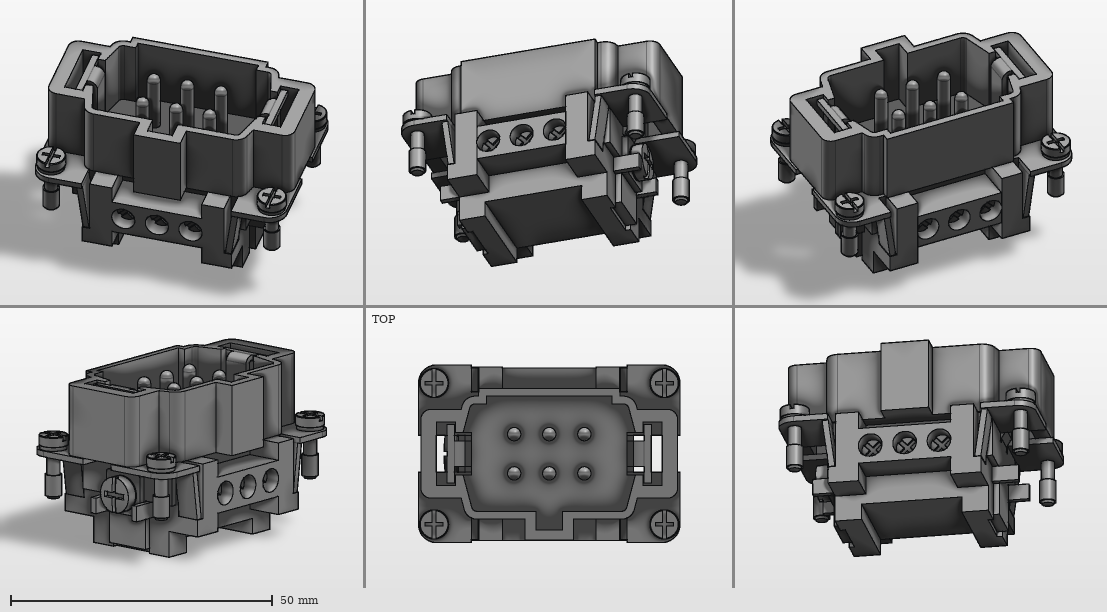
import cadquery as cq
import math

FLANGE_TOP = 19.2
FLANGE_THICKNESS = 1.15
FLANGE_BOTTOM = FLANGE_TOP - FLANGE_THICKNESS
FLOOR_Z = 20.0
RIM_Z = 33.0

LENGTH = 50.0
WIDTH = 34.0
FLANGE_CORNER_RADIUS = 3.5
NOTCH_WIDTH = 7.0

WALL = 1.5
SLANT_ANGLE = math.radians(15)
HOOD_FRONT_Y = -12.5
HOOD_BACK_Y = 11.0
HOOD_APEX_X = 19.1
HOOD_CORNER_RADIUS = 2.5
END_BOX_X = 24.55
END_BOX_WIDTH = 17.0
END_BOX_RADIUS = 2.0
BACK_BULGE_X = 13.5
BACK_BULGE_Y = 12.5
KEY_X = 4.65
KEY_Y = -16.5
KEYWAY_X = 2.5
KEYWAY_Y = -14.55

SLOT_INNER_X = 17.9
SLOT_OUTER_X = 21.55
SLOT_WIDTH = 12.1
WINDOW_WIDTH = 8.1

BODY_X = 14.9
CORE_WIDTH = 18.9
MIDDLE_X = 8.95
MIDDLE_BACK_Y = 16.4
MIDDLE_BOTTOM = 8.7
MIDDLE_TOP = 15.8
POST_Y = 16.6
POST_BOTTOM = 5.1
CHANNEL_X = 9.75
CHANNEL_HEIGHT = 3.1
LEG_RECESS_X = 13.4
LEG_RECESS_Y = 11.8
LEG_RECESS_BOTTOM = 8.45
END_POCKET_DEPTH = 1.0

LEG_INNER_Y = 11.9
LEG_OUTER_Y = 16.4
LEG_BOTTOM = LEG_RECESS_BOTTOM
LEG_LEAN = 1.3

PLATE_THICKNESS = 1.2
PLATE_X = BODY_X + PLATE_THICKNESS
PLATE_WIDTH = 22.3
PLATE_STEP_Z = 10.55
STEM_WIDTH = 9.0
STEM_BOTTOM = 1.0
RIB_X = 20.05
RIB_THICKNESS = 1.2
RIB_BOTTOM = 7.35
RIB_TOP = 10.4

TONGUE_WIDTH = 4.9
TONGUE_THICKNESS = 1.05
TONGUE_X = 16.05
TONGUE_ROOT_Z = 17.35
TONGUE_BEND_RISE = 1.65
TONGUE_SHOULDER_Z = 31.15
BAR_X = 18.15
BAR_THICKNESS = 1.35
BAR_WIDTH = 11.1
BAR_TOP = 32.6
BAR_HEIGHT = 1.25
RELIEF_BOTTOM = 16.45

CONTACT_PITCH = 6.7
CONTACT_ROW_Y = 3.75
PIN_RADIUS = 1.275
PIN_TOP = 31.9
CLAMP_Z = 12.25
CLAMP_HOLE_RADIUS = 2.3
CLAMP_HOLE_DEPTH = 3.75
CLAMP_HEAD_RADIUS = 2.125
CLAMP_HEAD_HEIGHT = 1.0
CLAMP_SLOT_WIDTH = 0.85
CLAMP_SLOT_DEPTH = 0.5

SCREW_X = 22.0
SCREW_Y = 13.5
SCREW_TOP = 21.95
HEAD_BOTTOM = 19.95
HEAD_RADIUS = 2.8
HEAD_CHAMFER = 0.15
WASHER_RADIUS = 2.625
SHANK_RADIUS = 1.3
THREAD_RADIUS = 1.6
THREAD_TOP = 14.15
THREAD_BOTTOM = 10.0
TIP_TOP_RADIUS = 1.3
TIP_RADIUS = 1.1
TIP_Z = 9.5
LONG_SLOT_WIDTH = 0.8
CROSS_SLOT_LENGTH = 3.45
CROSS_SLOT_WIDTH = 0.7
SLOT_DEPTH = 0.9

TERMINAL_Z = 11.65
CLAMP_PLATE_SIZE = 8.35
CLAMP_PLATE_THICKNESS = 1.25
CLAMP_PLATE_RADIUS = 0.6
TERMINAL_RADIUS = 3.5
TERMINAL_NECK_RADIUS = 3.35
TERMINAL_NECK = 0.25
TERMINAL_EDGE_X = 19.9
TERMINAL_CROWN_X = 20.15
TERMINAL_SLOT_WIDTH = 0.85
TERMINAL_CROSS_LENGTH = 4.7
TERMINAL_CROSS_WIDTH = 1.05
TERMINAL_SLOT_DEPTH = 1.0


def box(x0, x1, y0, y1, z0, z1):
    return cq.Workplane("XY").box(x1 - x0, y1 - y0, z1 - z0, centered=False).translate((x0, y0, z0))


def centred_box(half_x, width, z0, z1):
    return box(-half_x, half_x, -width / 2, width / 2, z0, z1)


def mirrored_x(shape):
    return shape.union(shape.mirror("YZ"))


def mirrored_y(shape):
    return shape.union(shape.mirror("XZ"))


def slanted_prism(apex_x, front_y, back_y, radius, z0, z1):
    """Six-sided prism pointed at both ends, with rounded front and back corners."""
    front_x = apex_x + front_y * math.tan(SLANT_ANGLE)
    back_x = apex_x - back_y * math.tan(SLANT_ANGLE)
    outline = [
        (apex_x, 0), (back_x, back_y), (-back_x, back_y),
        (-apex_x, 0), (-front_x, front_y), (front_x, front_y),
    ]
    prism = cq.Workplane("XY").workplane(offset=z0).polyline(outline).close().extrude(z1 - z0)
    return prism.edges("|Z").edges("<Y or >Y").fillet(radius)


def make_hood():
    hood = slanted_prism(HOOD_APEX_X, HOOD_FRONT_Y, HOOD_BACK_Y, HOOD_CORNER_RADIUS, FLANGE_TOP, RIM_Z)
    ends = centred_box(END_BOX_X, END_BOX_WIDTH, FLANGE_TOP, RIM_Z).edges("|Z").fillet(END_BOX_RADIUS)
    bulge = box(-BACK_BULGE_X, BACK_BULGE_X, 0, BACK_BULGE_Y, FLANGE_TOP, RIM_Z)
    key = box(-KEY_X, KEY_X, KEY_Y, 0, FLANGE_TOP, RIM_Z)
    hood = hood.union(ends).union(bulge).union(key)

    cavity = slanted_prism(
        HOOD_APEX_X - WALL / math.cos(SLANT_ANGLE), HOOD_FRONT_Y + WALL, HOOD_BACK_Y - WALL,
        HOOD_CORNER_RADIUS - WALL, FLOOR_Z, RIM_Z,
    )
    cavity_bulge_x = BACK_BULGE_X - WALL
    cavity_bulge = box(-cavity_bulge_x, cavity_bulge_x, 0, BACK_BULGE_Y - WALL, FLOOR_Z, RIM_Z)
    keyway = box(-KEYWAY_X, KEYWAY_X, KEYWAY_Y, 0, FLOOR_Z, RIM_Z)
    return hood.cut(cavity).cut(cavity_bulge).cut(keyway)


def make_end_openings():
    """Slot through each hood end, joined to the cavity by a narrower window."""
    slot = box(SLOT_INNER_X, SLOT_OUTER_X, -SLOT_WIDTH / 2, SLOT_WIDTH / 2, FLANGE_TOP, RIM_Z)
    window = box(BODY_X, SLOT_OUTER_X, -WINDOW_WIDTH / 2, WINDOW_WIDTH / 2, FLANGE_TOP, RIM_Z)
    return mirrored_x(slot.union(window))


def make_body():
    body = centred_box(BODY_X, CORE_WIDTH, 0, FLANGE_TOP)
    body = body.union(box(-MIDDLE_X, MIDDLE_X, -POST_Y, MIDDLE_BACK_Y, MIDDLE_BOTTOM, MIDDLE_TOP))

    post = box(MIDDLE_X, BODY_X, -POST_Y, POST_Y, POST_BOTTOM, FLANGE_TOP)
    recess = box(LEG_RECESS_X, BODY_X, LEG_RECESS_Y, POST_Y, LEG_RECESS_BOTTOM, FLANGE_TOP)
    body = body.union(mirrored_x(post.cut(mirrored_y(recess))))

    channel = centred_box(CHANNEL_X, CORE_WIDTH, 0, CHANNEL_HEIGHT)
    end_pocket = box(BODY_X - END_POCKET_DEPTH, BODY_X, -STEM_WIDTH / 2, STEM_WIDTH / 2, 0, STEM_BOTTOM)
    return body.cut(channel).cut(mirrored_x(end_pocket))


def make_flange():
    flange = centred_box(LENGTH / 2, WIDTH, FLANGE_BOTTOM, FLANGE_TOP)
    flange = flange.edges("|Z").fillet(FLANGE_CORNER_RADIUS)
    flange = flange.cut(centred_box(BODY_X, WIDTH, FLANGE_BOTTOM, FLANGE_TOP))
    flange = flange.cut(centred_box(LENGTH / 2, NOTCH_WIDTH, FLANGE_BOTTOM, FLANGE_TOP))
    leg_outline = [
        (PLATE_X, FLANGE_BOTTOM), (BODY_X, FLANGE_BOTTOM),
        (BODY_X - LEG_LEAN, LEG_BOTTOM), (PLATE_X - LEG_LEAN, LEG_BOTTOM),
    ]
    leg = cq.Workplane("XZ", origin=(0, LEG_OUTER_Y, 0)).polyline(leg_outline).close()
    leg = leg.extrude(LEG_OUTER_Y - LEG_INNER_Y)
    return flange.union(mirrored_x(mirrored_y(leg)))


def make_tongue():
    """Spring strip that leans out of the earth plate, rises in the window and rolls over to the bar."""
    outer_x = TONGUE_X + TONGUE_THICKNESS
    bend_z = TONGUE_ROOT_Z + TONGUE_BEND_RISE
    roll_x = BAR_X - TONGUE_X
    roll_z = BAR_TOP - TONGUE_SHOULDER_Z
    inner_roll_x = BAR_X - outer_x
    inner_roll_z = roll_z - TONGUE_THICKNESS
    diagonal = math.sqrt(0.5)
    profile = (
        cq.Workplane("XZ", origin=(0, TONGUE_WIDTH / 2, 0))
        .moveTo(BODY_X, TONGUE_ROOT_Z)
        .lineTo(TONGUE_X, bend_z)
        .lineTo(TONGUE_X, TONGUE_SHOULDER_Z)
        .threePointArc(
            (BAR_X - roll_x * diagonal, TONGUE_SHOULDER_Z + roll_z * diagonal), (BAR_X, BAR_TOP))
        .lineTo(BAR_X, BAR_TOP - TONGUE_THICKNESS)
        .threePointArc(
            (BAR_X - inner_roll_x * diagonal, TONGUE_SHOULDER_Z + inner_roll_z * diagonal),
            (outer_x, TONGUE_SHOULDER_Z))
        .lineTo(outer_x, bend_z)
        .lineTo(PLATE_X, TONGUE_ROOT_Z)
        .close()
    )
    tongue = profile.extrude(TONGUE_WIDTH)
    bar = box(BAR_X, BAR_X + BAR_THICKNESS, -BAR_WIDTH / 2, BAR_WIDTH / 2, BAR_TOP - BAR_HEIGHT, BAR_TOP)
    return tongue.union(bar)


def make_earth_plate():
    plate = box(BODY_X, PLATE_X, -PLATE_WIDTH / 2, PLATE_WIDTH / 2, PLATE_STEP_Z, FLANGE_BOTTOM)
    opening = box(BODY_X, PLATE_X, -NOTCH_WIDTH / 2, NOTCH_WIDTH / 2, RELIEF_BOTTOM, FLANGE_BOTTOM)
    root = box(BODY_X, PLATE_X, -TONGUE_WIDTH / 2, TONGUE_WIDTH / 2, RELIEF_BOTTOM, TONGUE_ROOT_Z)
    stem_inner_x = BODY_X - END_POCKET_DEPTH
    stem = box(stem_inner_x, PLATE_X, -STEM_WIDTH / 2, STEM_WIDTH / 2, STEM_BOTTOM, PLATE_STEP_Z)
    rib = box(BODY_X, RIB_X, STEM_WIDTH / 2, STEM_WIDTH / 2 + RIB_THICKNESS, RIB_BOTTOM, RIB_TOP)
    plate = plate.cut(opening).union(root).union(stem).union(mirrored_y(rib))
    return mirrored_x(plate.union(make_tongue()))


def make_pin():
    pin = cq.Workplane("XY").workplane(offset=FLANGE_TOP).circle(PIN_RADIUS)
    pin = pin.extrude(PIN_TOP - PIN_RADIUS - FLANGE_TOP)
    return pin.union(cq.Workplane("XY").sphere(PIN_RADIUS).translate((0, 0, PIN_TOP - PIN_RADIUS)))


def make_clamp_hole():
    """Round hole entering from -Y, less the cross-slotted screw head at its bottom."""
    head_y = -POST_Y + CLAMP_HOLE_DEPTH - CLAMP_HEAD_HEIGHT
    hole = cq.Workplane("XZ", origin=(0, -POST_Y, CLAMP_Z)).circle(CLAMP_HOLE_RADIUS)
    hole = hole.extrude(-CLAMP_HOLE_DEPTH)
    head_plane = cq.Workplane("XZ", origin=(0, head_y, CLAMP_Z))
    head = head_plane.circle(CLAMP_HEAD_RADIUS).extrude(-CLAMP_HEAD_HEIGHT)
    for angle in (45, 135):
        slot = head_plane.transformed(rotate=(0, 0, angle)).rect(2 * CLAMP_HEAD_RADIUS, CLAMP_SLOT_WIDTH)
        head = head.cut(slot.extrude(-CLAMP_SLOT_DEPTH))
    return hole.cut(head)


def make_mounting_screw():
    profile = [
        (0, TIP_Z), (TIP_RADIUS, TIP_Z), (TIP_TOP_RADIUS, THREAD_BOTTOM),
        (THREAD_RADIUS, THREAD_BOTTOM), (THREAD_RADIUS, THREAD_TOP),
        (SHANK_RADIUS, THREAD_TOP), (SHANK_RADIUS, FLANGE_TOP),
        (WASHER_RADIUS, FLANGE_TOP), (WASHER_RADIUS, HEAD_BOTTOM),
        (HEAD_RADIUS, HEAD_BOTTOM), (HEAD_RADIUS, SCREW_TOP - HEAD_CHAMFER),
        (HEAD_RADIUS - HEAD_CHAMFER, SCREW_TOP), (0, SCREW_TOP),
    ]
    screw = cq.Workplane("XZ").polyline(profile).close().revolve(360, (0, 0, 0), (0, 1, 0))
    slot_z = SCREW_TOP - SLOT_DEPTH
    long_slot = centred_box(LONG_SLOT_WIDTH / 2, 2 * HEAD_RADIUS, slot_z, SCREW_TOP)
    cross_slot = centred_box(CROSS_SLOT_LENGTH / 2, CROSS_SLOT_WIDTH, slot_z, SCREW_TOP)
    return screw.cut(long_slot).cut(cross_slot)


def make_terminal():
    """Square clamp plate and crowned screw head, standing out along -X."""
    clamp_x = PLATE_X + CLAMP_PLATE_THICKNESS
    clamp = cq.Workplane("YZ", origin=(-clamp_x, 0, TERMINAL_Z)).rect(CLAMP_PLATE_SIZE, CLAMP_PLATE_SIZE)
    clamp = clamp.extrude(CLAMP_PLATE_THICKNESS).edges("|X").fillet(CLAMP_PLATE_RADIUS)

    crown_height = TERMINAL_CROWN_X - TERMINAL_EDGE_X
    crown_mid_x = TERMINAL_EDGE_X + 0.75 * crown_height
    neck_x = clamp_x + TERMINAL_NECK
    head = (
        cq.Workplane("XY", origin=(0, 0, TERMINAL_Z))
        .moveTo(-clamp_x, 0)
        .lineTo(-clamp_x, TERMINAL_NECK_RADIUS)
        .lineTo(-neck_x, TERMINAL_NECK_RADIUS)
        .lineTo(-neck_x, TERMINAL_RADIUS)
        .lineTo(-TERMINAL_EDGE_X, TERMINAL_RADIUS)
        .threePointArc((-crown_mid_x, TERMINAL_RADIUS / 2), (-TERMINAL_CROWN_X, 0))
        .close()
        .revolve(360, (0, 0, 0), (1, 0, 0))
    )
    slot_plane = cq.Workplane("YZ", origin=(-TERMINAL_CROWN_X, 0, TERMINAL_Z))
    long_slot = slot_plane.rect(TERMINAL_SLOT_WIDTH, 2 * TERMINAL_RADIUS).extrude(TERMINAL_SLOT_DEPTH)
    cross_slot = slot_plane.rect(TERMINAL_CROSS_LENGTH, TERMINAL_CROSS_WIDTH).extrude(TERMINAL_SLOT_DEPTH)
    return clamp.union(head.cut(long_slot).cut(cross_slot))


result = make_hood().union(make_body()).cut(make_end_openings())
result = result.union(make_flange()).union(make_earth_plate()).union(make_terminal())

pin = make_pin()
clamp_holes = mirrored_y(make_clamp_hole())
for column in (-1, 0, 1):
    contact_x = column * CONTACT_PITCH
    result = result.cut(clamp_holes.translate((contact_x, 0, 0)))
    for side in (-1, 1):
        result = result.union(pin.translate((contact_x, side * CONTACT_ROW_Y, 0)))

mounting_screw = make_mounting_screw()
for end in (-1, 1):
    for side in (-1, 1):
        result = result.union(mounting_screw.translate((end * SCREW_X, side * SCREW_Y, 0)))